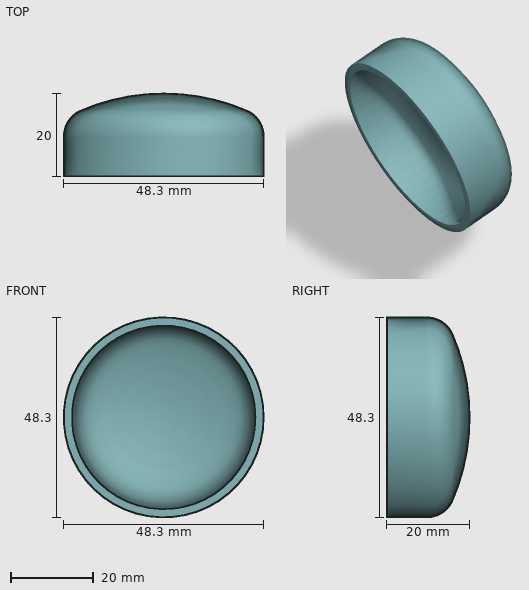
import cadquery as cq
import math

outer_diameter = 48.3
wall = 2.0
total_depth = 20.0

outer_radius = outer_diameter / 2
inner_radius = outer_radius - wall

crown_inner = outer_diameter
knuckle_inner = 0.1 * outer_diameter
crown_outer = crown_inner + wall
knuckle_outer = knuckle_inner + wall

crown_center_y = total_depth - crown_outer
knuckle_center_x = inner_radius - knuckle_inner
center_distance = crown_inner - knuckle_inner
tangent_angle = math.asin(knuckle_center_x / center_distance)
skirt_depth = crown_center_y + center_distance * math.cos(tangent_angle)


def crown_point(radius, angle):
    """Point on a crown arc at the given angle from the cap axis."""
    return (radius * math.sin(angle), crown_center_y + radius * math.cos(angle))


def knuckle_point(radius):
    """Middle point of a knuckle arc."""
    angle = (tangent_angle + math.pi / 2) / 2
    return (knuckle_center_x + radius * math.sin(angle), skirt_depth + radius * math.cos(angle))


def cap_profile():
    """Half section of the wall, from the rim over the outside and back along the inside."""
    return (
        cq.Workplane("XY")
        .moveTo(inner_radius, 0)
        .lineTo(outer_radius, 0)
        .lineTo(outer_radius, skirt_depth)
        .threePointArc(knuckle_point(knuckle_outer), crown_point(crown_outer, tangent_angle))
        .threePointArc(crown_point(crown_outer, tangent_angle / 2), crown_point(crown_outer, 0))
        .lineTo(*crown_point(crown_inner, 0))
        .threePointArc(crown_point(crown_inner, tangent_angle / 2), crown_point(crown_inner, tangent_angle))
        .threePointArc(knuckle_point(knuckle_inner), (inner_radius, skirt_depth))
        .close()
    )


result = cap_profile().revolve(360, (0, 0, 0), (0, 1, 0))